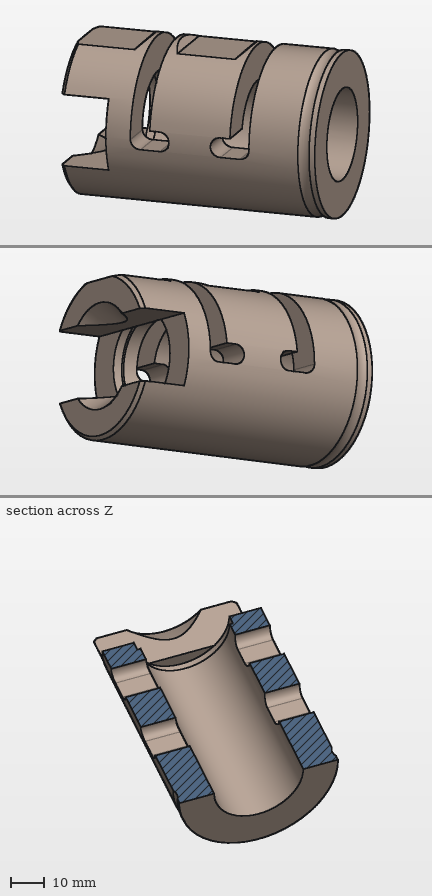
import cadquery as cq
import math

length = 80.0
outer_radius = 50.0 / 2
bore_radius = 28.0 / 2
front_chamfer = 1.1

mouth_depth = 14.9
mouth_height = 21.8
relief_radius = 30.0 / 2
relief_depth = 3.0
dish_face_radius = 16.0
dish_half_angle = 32.0

slot_width = 6.0
slot_center_xs = (25.5, 56.5)
slot_foot = 6.0

flat_z = 23.0
front_flat_end = 18.6
middle_flat_start = 32.0
middle_flat_end = 50.0

groove_start = 74.7
groove_end = 78.2
groove_depth = 0.5


def x_cylinder(radius, start, end):
    return cq.Workplane("YZ", origin=(start, 0, 0)).circle(radius).extrude(end - start)


def make_barrel():
    blank = x_cylinder(outer_radius, 0, length).faces("<X").chamfer(front_chamfer)
    return blank.cut(x_cylinder(bore_radius, mouth_depth, length))


def make_mouth():
    gap = cq.Workplane("XY").box(
        mouth_depth, 2 * outer_radius, mouth_height, centered=(False, True, True)
    )
    dish_length = dish_face_radius / math.tan(math.radians(dish_half_angle))
    dish = (
        cq.Workplane("XY")
        .polyline([(0, 0), (dish_length, 0), (0, dish_face_radius)])
        .close()
        .revolve(360, (0, 0, 0), (1, 0, 0))
    )
    relief = x_cylinder(relief_radius, mouth_depth, mouth_depth + relief_depth)
    return gap.union(dish).union(relief)


def make_bayonet_slot(center_x, foot_direction):
    half = slot_width / 2
    outer_x = center_x - foot_direction * half
    inner_x = center_x + foot_direction * half
    foot_x = center_x + foot_direction * slot_foot
    corner = half * math.sqrt(0.5)
    return (
        cq.Workplane("XZ")
        .moveTo(outer_x, outer_radius)
        .lineTo(outer_x, 0)
        .threePointArc((center_x - foot_direction * corner, -corner), (center_x, -half))
        .lineTo(foot_x, -half)
        .threePointArc((foot_x + foot_direction * half, 0), (foot_x, half))
        .lineTo(inner_x, half)
        .lineTo(inner_x, outer_radius)
        .close()
        .extrude(outer_radius, both=True)
    )


def make_flat(start, end, ramp_at_start):
    ramp = outer_radius - flat_z
    top_start = start - ramp if ramp_at_start else start
    outline = [
        (start, flat_z),
        (end, flat_z),
        (end + ramp, outer_radius),
        (top_start, outer_radius),
    ]
    return cq.Workplane("XZ").polyline(outline).close().extrude(outer_radius, both=True)


def make_groove():
    middle = (groove_start + groove_end) / 2
    return (
        cq.Workplane("XY")
        .moveTo(groove_start, outer_radius)
        .threePointArc((middle, outer_radius - groove_depth), (groove_end, outer_radius))
        .close()
        .revolve(360, (0, 0, 0), (1, 0, 0))
    )


result = make_barrel().cut(make_mouth())
for center_x, foot_direction in zip(slot_center_xs, (1, -1)):
    result = result.cut(make_bayonet_slot(center_x, foot_direction))
result = result.cut(make_flat(0, front_flat_end, ramp_at_start=False))
result = result.cut(make_flat(middle_flat_start, middle_flat_end, ramp_at_start=True))
result = result.cut(make_groove())